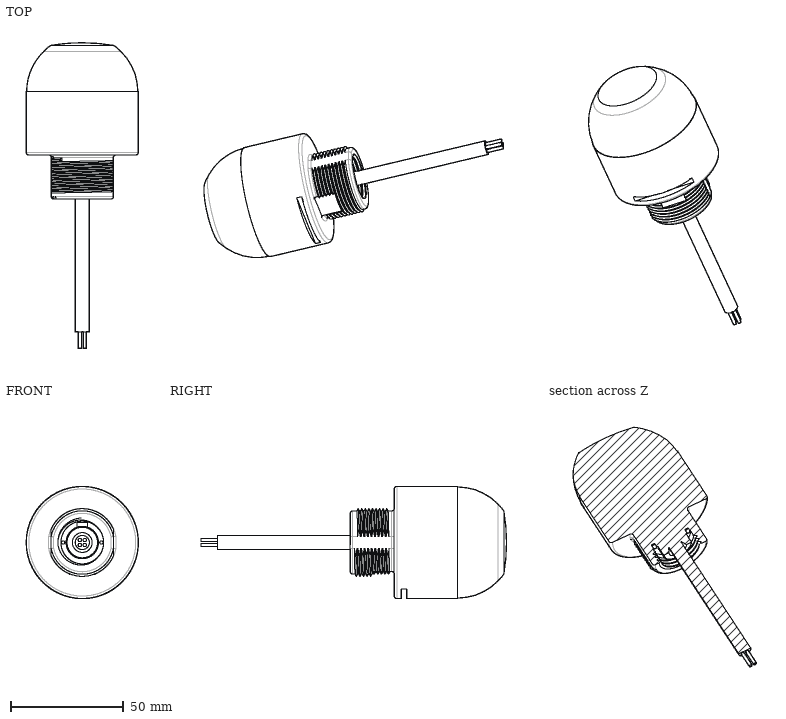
import cadquery as cq
import math


MM_PER_INCH = 25.4
EDGE_TOLERANCE = 0.01

HEAD_RADIUS = 25.0
HEAD_LENGTH = 50.0
CYLINDER_LENGTH = 28.2
BACK_EDGE_FILLET = 1.2
DOME_RADIUS = 24.8
SHOULDER_RADIUS = 17.2
CROWN_RADIUS = 14.0
CROWN_HEIGHT = 1.2
SHOULDER_BULGE = 0.1
DOME_MIDDLE_ANGLE = math.radians(22)

SLOT_NEAR = 3.2
SLOT_WIDTH = 2.3
SLOT_FLOOR_RADIUS = 20.7

NECK_RADIUS = 14.1
NECK_LENGTH = 19.55
NECK_FILLET = 1.1
FLAT_DISTANCE = 13.85
THREAD_PITCH = MM_PER_INCH / 16
THREAD_CREST_RADIUS = 15.05
THREAD_START = 17.2
THREAD_END = 1.9
THREAD_ROOT_SINK = 0.15
THREAD_WIDTH_RATIO = 0.86

RELIEF_WIDTH = 11.2
RELIEF_LENGTH = 9.5
RELIEF_FLOOR = 12.9

BORE_RADIUS = 9.5
BORE_DEPTH = 8.0
BORE_THREAD_RADIUS = 10.9
BORE_THREAD_PITCH = MM_PER_INCH / 14

GLAND_RADIUS = 7.2
GLAND_RECESS = 2.6
GLAND_CHAMFER = 0.4
CONE_RADIUS = 4.4
CONE_DEPTH = 2.5
KEY_WIDTH = 4.8
KEY_TOP = 9.0
KEY_RECESS = 5.0
PIN_HOLE_RADIUS = 0.75
PIN_HOLE_OFFSET = 8.5
PIN_HOLE_DEPTH = 2.0

CABLE_RADIUS = 3.15
OVERALL_LENGTH = 135.96
WIRE_LENGTH = 7.4
WIRE_RADIUS = 0.75
WIRE_OFFSET = 1.1

TIP_Y = -NECK_LENGTH
BORE_FLOOR_Y = TIP_Y + BORE_DEPTH
GLAND_FACE_Y = TIP_Y + GLAND_RECESS
WIRE_END_Y = HEAD_LENGTH - OVERALL_LENGTH
CABLE_END_Y = WIRE_END_Y + WIRE_LENGTH


def plane_at(y):
    """XZ work plane at the given Y, extruding toward +Y, with local x = -X and local y = Z."""
    return cq.Workplane(cq.Plane(origin=(0, y, 0), xDir=(-1, 0, 0), normal=(0, 1, 0)))


def cylinder(radius, y_from, y_to):
    return plane_at(y_from).circle(radius).extrude(y_to - y_from)


def head():
    """Cylinder with a spherical dome, a rounded shoulder and a shallow crown."""
    shoulder_y = CYLINDER_LENGTH + math.sqrt(DOME_RADIUS**2 - SHOULDER_RADIUS**2)
    crown_y = HEAD_LENGTH - CROWN_HEIGHT
    middle_radius = DOME_RADIUS * math.cos(DOME_MIDDLE_ANGLE)
    middle_y = CYLINDER_LENGTH + DOME_RADIUS * math.sin(DOME_MIDDLE_ANGLE)
    shoulder_middle = (
        -(SHOULDER_RADIUS + CROWN_RADIUS) / 2 - SHOULDER_BULGE,
        (shoulder_y + crown_y) / 2 + SHOULDER_BULGE,
    )
    crown_sphere = (CROWN_RADIUS**2 + CROWN_HEIGHT**2) / (2 * CROWN_HEIGHT)
    crown_middle_x = CROWN_RADIUS / 2
    crown_middle_y = HEAD_LENGTH - crown_sphere + math.sqrt(crown_sphere**2 - crown_middle_x**2)
    profile = (
        cq.Workplane("XY")
        .lineTo(-HEAD_RADIUS, 0)
        .lineTo(-HEAD_RADIUS, CYLINDER_LENGTH)
        .lineTo(-DOME_RADIUS, CYLINDER_LENGTH)
        .threePointArc((-middle_radius, middle_y), (-SHOULDER_RADIUS, shoulder_y))
        .threePointArc(shoulder_middle, (-CROWN_RADIUS, crown_y))
        .threePointArc((-crown_middle_x, crown_middle_y), (0, HEAD_LENGTH))
        .close()
    )
    body = profile.revolve(360, (0, 0, 0), (0, 1, 0))
    body = body.faces("<Y").edges().fillet(BACK_EDGE_FILLET)
    slot = cq.Workplane("XY").box(
        2 * HEAD_RADIUS, SLOT_WIDTH, HEAD_RADIUS - SLOT_FLOOR_RADIUS, centered=(True, False, False)
    )
    return body.cut(slot.translate((0, SLOT_NEAR, -HEAD_RADIUS)))


def flat_sided(radius, y_from, y_to):
    """Round bar with two flats facing +X and -X."""
    length = y_to - y_from
    slab = plane_at(y_from).rect(2 * FLAT_DISTANCE, 2 * HEAD_RADIUS).extrude(length)
    return cylinder(radius, y_from, y_to).intersect(slab)


def helical_ridge(base_radius, crest_radius, pitch, y_from, y_to):
    """Triangular ridge wound around the Y axis, its base at base_radius."""
    length = y_to - y_from
    half_width = THREAD_WIDTH_RATIO * pitch / 2
    path = cq.Wire.makeHelix(pitch, length, base_radius)
    ridge = (
        cq.Workplane("XZ")
        .moveTo(base_radius, -half_width)
        .lineTo(crest_radius, 0)
        .lineTo(base_radius, half_width)
        .close()
        .sweep(cq.Workplane(obj=path), isFrenet=True)
    )
    return ridge.rotate((0, 0, 0), (1, 0, 0), -90).translate((0, y_from, 0))


def neck_thread():
    ridge = helical_ridge(
        NECK_RADIUS - THREAD_ROOT_SINK, THREAD_CREST_RADIUS, THREAD_PITCH, -THREAD_START, -THREAD_END
    )
    return ridge.intersect(flat_sided(HEAD_RADIUS, TIP_Y, 0))


def bore():
    """Plain hole and the helical thread groove around it."""
    hole = cylinder(BORE_RADIUS, TIP_Y, BORE_FLOOR_Y)
    groove = helical_ridge(
        BORE_RADIUS - THREAD_ROOT_SINK,
        BORE_THREAD_RADIUS,
        BORE_THREAD_PITCH,
        TIP_Y - BORE_THREAD_PITCH,
        BORE_FLOOR_Y - BORE_THREAD_PITCH,
    )
    return hole, groove.rotate((0, 0, 0), (0, 1, 0), 180)


def relief():
    """Flat-bottomed pocket that interrupts the thread under the neck."""
    depth = THREAD_CREST_RADIUS + NECK_FILLET - RELIEF_FLOOR
    pocket = cq.Workplane("XY").box(RELIEF_WIDTH, RELIEF_LENGTH, depth, centered=(True, False, False))
    return pocket.translate((0, -RELIEF_LENGTH, -RELIEF_FLOOR - depth))


def gland():
    """Plug inside the bore with a cone around the cable and a locating key on top."""
    plug = cylinder(GLAND_RADIUS, GLAND_FACE_Y, BORE_FLOOR_Y).faces("<Y").edges().chamfer(GLAND_CHAMFER)
    cone = plane_at(GLAND_FACE_Y).circle(CONE_RADIUS).workplane(offset=CONE_DEPTH).circle(CABLE_RADIUS).loft()
    key_y = TIP_Y + KEY_RECESS
    key = cq.Workplane("XY").box(
        KEY_WIDTH, BORE_FLOOR_Y - key_y, KEY_TOP - CONE_RADIUS, centered=(True, False, False)
    )
    return plug.union(key.translate((0, key_y, CONE_RADIUS))).cut(cone)


def pin_holes():
    centers = [(-PIN_HOLE_OFFSET, 0), (PIN_HOLE_OFFSET, 0)]
    return plane_at(BORE_FLOOR_Y).pushPoints(centers).circle(PIN_HOLE_RADIUS).extrude(PIN_HOLE_DEPTH)


def wires():
    spacing = 2 * WIRE_OFFSET
    grid = plane_at(WIRE_END_Y).rarray(spacing, spacing, 2, 2)
    return grid.circle(WIRE_RADIUS).extrude(WIRE_LENGTH)


def head_with_neck():
    """Head and plain neck, rounded where they meet and around the neck tip."""
    body = head().union(flat_sided(NECK_RADIUS, TIP_Y, 0))
    reach = HEAD_RADIUS - 2 * BACK_EDGE_FILLET
    root_corner = (reach, EDGE_TOLERANCE, reach)
    opposite_corner = tuple(-value for value in root_corner)
    root_edges = cq.selectors.BoxSelector(opposite_corner, root_corner)
    body = body.edges(root_edges).fillet(NECK_FILLET)
    return body.faces("<Y").edges().fillet(NECK_FILLET)


bore_hole, bore_groove = bore()
result = head_with_neck().union(neck_thread()).cut(relief())
result = result.cut(bore_hole).cut(bore_groove).cut(pin_holes())
result = result.union(gland())
result = result.union(cylinder(CABLE_RADIUS, CABLE_END_Y, BORE_FLOOR_Y)).union(wires())